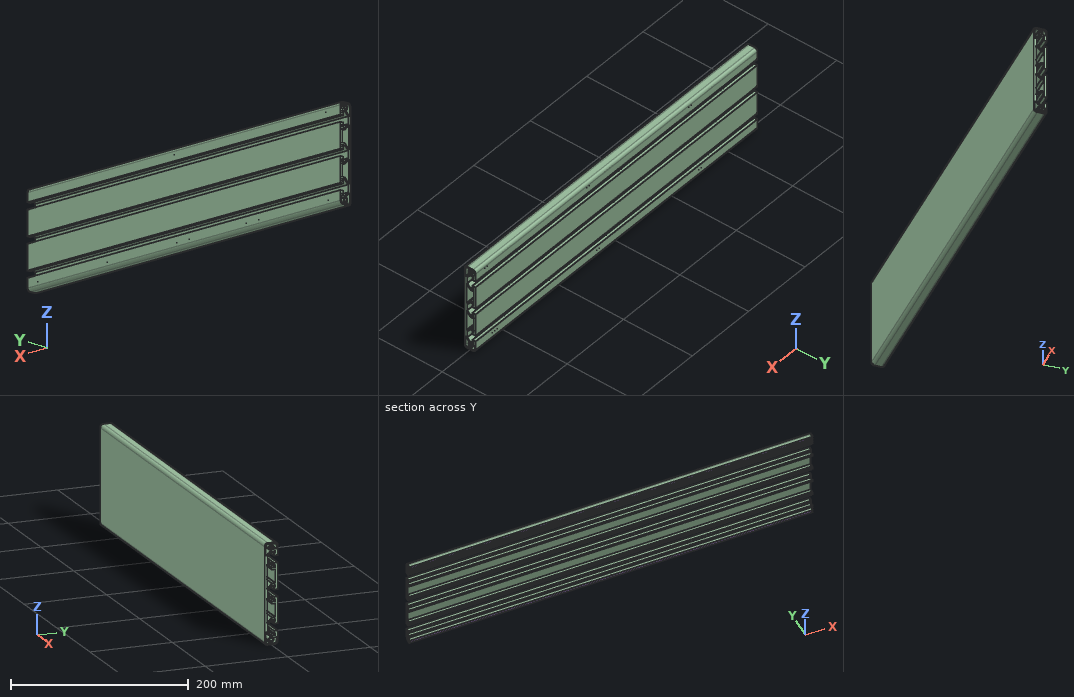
import cadquery as cq
import math

length = 500.0
depth = 16.0
height = 120.0
corner_radius = 4.0
front_y = -depth / 2
back_y = depth / 2

back_wall = 3.0
front_wall = 3.0
edge_wall = 1.5
ledge = 2.5
web = 1.75
web_run = web * math.sqrt(2)

slot_pitch = 40.0
slot_opening = 8.5
slot_depth = 12.0
slot_half_width = 9.5
slot_floor_half_width = 4.5
lip_depth = 4.5
lip_height = 3.0
slot_floor_y = back_y - slot_depth
slot_shoulder_y = slot_floor_y + slot_half_width - slot_floor_half_width
chamber_flank_y = slot_shoulder_y + ledge - web_run

channel_z = 54.0
channel_radius = 3.0
channel_hole_radius = 2.0
channel_neck = 1.5
edge_chamber_radius = corner_radius - edge_wall
top_chamber_floor_z = 45.0


def extrude_outline(points):
    """Closed YZ polygon swept over the whole length."""
    return cq.Workplane("YZ").polyline(points).close().extrude(length / 2, both=True)


def mirrored_outline(half_points, center_z):
    """Outline from (y, height above center_z) points, mirrored about center_z."""
    upper = [(y, center_z + rise) for y, rise in half_points]
    lower = [(y, center_z - rise) for y, rise in reversed(half_points)]
    return extrude_outline(upper + lower)


def bar(y_size, z_size):
    """Full-length rectangular bar centered on the X axis."""
    return cq.Workplane("YZ").rect(y_size, z_size).extrude(length / 2, both=True)


def rod(radius, z):
    """Full-length round rod at height z."""
    return cq.Workplane("YZ").center(0, z).circle(radius).extrude(length / 2, both=True)


def t_slot(center_z):
    """Slot open to the back, with lips at its mouth and 45 degree flanks down to its floor."""
    opening_half = slot_opening / 2
    lip_end = opening_half + lip_height
    half_points = [
        (back_y, opening_half),
        (back_y - lip_depth, opening_half),
        (back_y - lip_depth, lip_end),
        (back_y - back_wall, lip_end),
        (back_y - back_wall, slot_half_width),
        (slot_shoulder_y, slot_half_width),
        (slot_floor_y, slot_floor_half_width),
    ]
    return mirrored_outline(half_points, center_z)


def middle_chamber(center_z):
    """Closed hollow between two neighbouring T-slots."""
    chamber_front_y = front_y + front_wall
    back_half = slot_pitch / 2 - slot_half_width - ledge
    front_half = back_half + chamber_flank_y - chamber_front_y
    half_points = [
        (back_y - back_wall, back_half),
        (chamber_flank_y, back_half),
        (chamber_front_y, front_half),
    ]
    return mirrored_outline(half_points, center_z)


def top_chamber():
    """Hollow around the top screw channel, bounded below by the outer T-slot."""
    inner_back_y = back_y - edge_wall
    inner_front_y = front_y + edge_wall
    ceiling_z = height / 2 - edge_wall
    ledge_z = slot_pitch + slot_half_width + ledge
    flank_end_y = chamber_flank_y - (ledge_z - top_chamber_floor_z)
    chamber = extrude_outline([
        (inner_back_y, ceiling_z),
        (inner_back_y, ledge_z),
        (chamber_flank_y, ledge_z),
        (flank_end_y, top_chamber_floor_z),
        (inner_front_y, top_chamber_floor_z),
        (inner_front_y, ceiling_z),
    ])
    chamber = chamber.faces(">Z").edges("|X").fillet(edge_chamber_radius)
    neck_height = height / 2 - channel_z
    neck = bar(channel_neck, neck_height).translate((0, 0, channel_z + neck_height / 2))
    chamber = chamber.cut(rod(channel_radius, channel_z)).cut(neck)
    return chamber.union(rod(channel_hole_radius, channel_z))


profile = bar(depth, height).edges("|X").fillet(corner_radius)

for slot_z in (-slot_pitch, 0, slot_pitch):
    profile = profile.cut(t_slot(slot_z))

for side in (-1, 1):
    profile = profile.cut(middle_chamber(side * slot_pitch / 2))

upper_hollow = top_chamber()
result = profile.cut(upper_hollow).cut(upper_hollow.mirror("XY"))